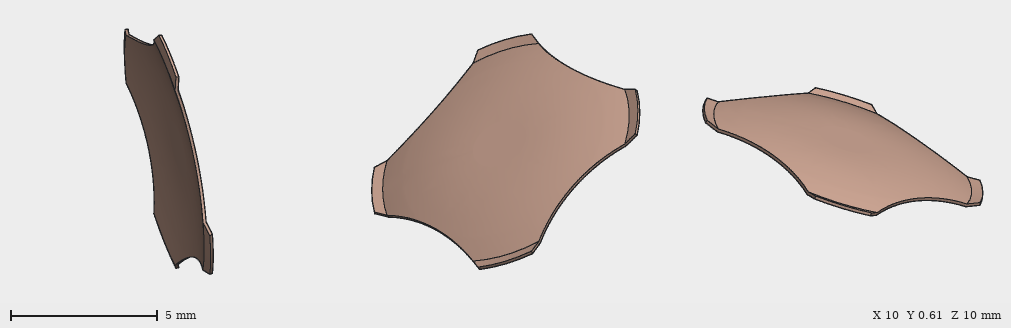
import cadquery as cq
import math

sheet_thickness = 0.11
rim_radius = 5.015
bend_radius = 4.617
flat_radius = 1.0
overall_depth = 0.61
lip_angle = 15.0
scallop_centre = 8.5
scallop_radius = 8.32

dome_depth = overall_depth - sheet_thickness
dome_run = bend_radius - flat_radius
dome_radius = (dome_run**2 + dome_depth**2) / (2 * dome_depth)
dome_centre_y = -dome_radius
outer_dome_radius = dome_radius + sheet_thickness

lip_tilt = math.radians(lip_angle)
lip_run = rim_radius - bend_radius


def dome_point(arc_radius, radius):
    """Point of a dome arc at the given distance from the part axis."""
    height = math.sqrt(arc_radius**2 - (radius - flat_radius) ** 2)
    return radius, dome_centre_y + height


def outer_crease_radius():
    """Distance from the axis where the convex dome arc meets the convex side of the lip."""
    line_start = (dome_run - sheet_thickness * math.sin(lip_tilt),
                  dome_radius - dome_depth + sheet_thickness * math.cos(lip_tilt))
    along = line_start[0] * math.cos(lip_tilt) + line_start[1] * math.sin(lip_tilt)
    clearance = line_start[0] ** 2 + line_start[1] ** 2 - outer_dome_radius**2
    travel = -along + math.sqrt(along**2 - clearance)
    return flat_radius + line_start[0] + travel * math.cos(lip_tilt)


def dished_disc():
    """Sheet of constant thickness: flat centre, dome and turned-back lip."""
    mid_radius = (flat_radius + bend_radius) / 2
    inner_rim = (rim_radius, -dome_depth + lip_run * math.tan(lip_tilt))
    outer_rim = (inner_rim[0] - sheet_thickness * math.sin(lip_tilt),
                 inner_rim[1] + sheet_thickness * math.cos(lip_tilt))
    profile = (
        cq.Workplane("XY")
        .moveTo(0, 0)
        .lineTo(flat_radius, 0)
        .threePointArc(dome_point(dome_radius, mid_radius), dome_point(dome_radius, bend_radius))
        .lineTo(*inner_rim)
        .lineTo(*outer_rim)
        .lineTo(*dome_point(outer_dome_radius, outer_crease_radius()))
        .threePointArc(dome_point(outer_dome_radius, mid_radius), (flat_radius, sheet_thickness))
        .lineTo(0, sheet_thickness)
        .close()
    )
    return profile.revolve(360, (0, 0, 0), (0, 1, 0))


def scallops():
    """Four round cutters along Y, one on each diagonal, leaving four arms."""
    centres = [(x * scallop_centre, z * scallop_centre) for x in (-1, 1) for z in (-1, 1)]
    cutter_half_length = 2 * overall_depth
    return (
        cq.Workplane("XZ")
        .pushPoints(centres)
        .circle(scallop_radius)
        .extrude(cutter_half_length, both=True)
    )


result = dished_disc().cut(scallops())